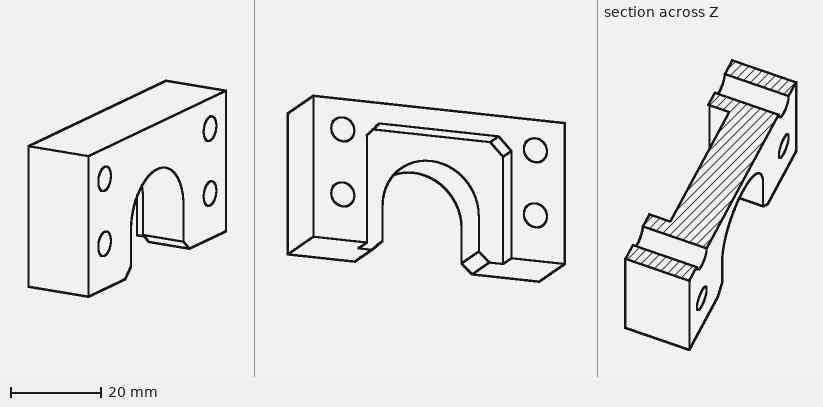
import cadquery as cq

thickness = 15.5
length = 60.0
height = 32.5
front_x = -thickness / 2

arch_radius = 11.45
arch_center_z = 10.5
mouth_chamfer_width = 2.5
mouth_chamfer_height = 2.3

recess_width = 34.5
recess_height = 27.8
recess_corner = 3.05
recess_depth = 5.05

hole_diameter = 5.5
hole_spacing_y = 45.95
hole_spacing_z = 15.0


def make_block():
    return cq.Workplane("XY").box(thickness, length, height, centered=(True, True, False))


def face_plane():
    """Sketch plane on the -X face: local x is +Y, local y is +Z, normal is +X."""
    return cq.Workplane("YZ", origin=(front_x, 0, 0))


def make_recess():
    half = recess_width / 2
    return (
        face_plane()
        .moveTo(-half, 0)
        .lineTo(-half, recess_height - recess_corner)
        .lineTo(-half + recess_corner, recess_height)
        .lineTo(half - recess_corner, recess_height)
        .lineTo(half, recess_height - recess_corner)
        .lineTo(half, 0)
        .close()
        .extrude(recess_depth)
    )


def make_opening():
    mouth_half = arch_radius + mouth_chamfer_width
    return (
        face_plane()
        .moveTo(-mouth_half, 0)
        .lineTo(-arch_radius, mouth_chamfer_height)
        .lineTo(-arch_radius, arch_center_z)
        .threePointArc((0, arch_center_z + arch_radius), (arch_radius, arch_center_z))
        .lineTo(arch_radius, mouth_chamfer_height)
        .lineTo(mouth_half, 0)
        .close()
        .extrude(thickness)
    )


def make_holes():
    side = hole_spacing_y / 2
    levels = (arch_center_z, arch_center_z + hole_spacing_z)
    centers = [(y, z) for y in (-side, side) for z in levels]
    return face_plane().pushPoints(centers).circle(hole_diameter / 2).extrude(thickness)


result = make_block().cut(make_recess()).cut(make_opening()).cut(make_holes())